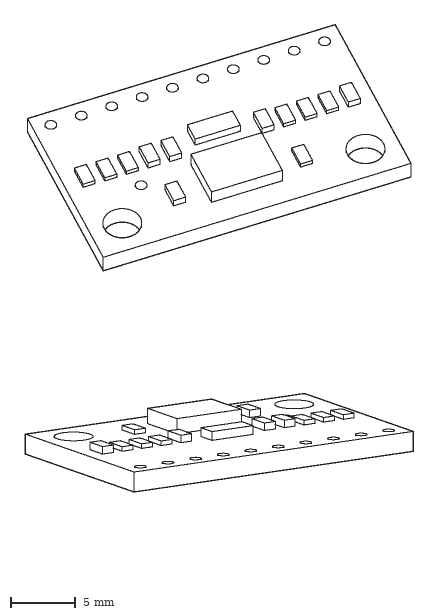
import cadquery as cq

board_width = 15.5
board_length = 25.7
total_height = 2.8
board_thickness = 1.6

pin_hole_diameter = 0.9
pin_count = 10
pin_row_length = 22.85
pin_pitch = pin_row_length / (pin_count - 1)
pin_row_x = -6.45
test_hole_x = 1.95
test_hole_y = -7.32
mount_hole_diameter = 3.0
mount_hole_x = 5.05
mount_hole_y = 10.15

main_chip_width = 4.21
main_chip_length = 5.9
main_chip_height = total_height - board_thickness
main_chip_x = 3.55

narrow_chip_width = 1.6
narrow_chip_length = 3.78
narrow_chip_height = 0.7
narrow_chip_x = -1.1

component_width = 1.8
component_length = 1.0
low = 0.35
tall = 0.6
component_pitch = 1.8
first_component_y = 3.85
side_component_x = 3.98
side_component_y = 5.3

upper_row = [(-0.35, tall), (-0.35, low), (-0.35, low), (-0.35, low), (-0.35, tall)]
lower_row = [(-0.35, tall), (-0.39, tall), (-0.4, low), (-0.4, low), (-0.44, low)]


def block_on_board(x, y, width, length, height):
    """Rectangular component standing on the top face of the board."""
    return (
        cq.Workplane("XY", origin=(x, y, board_thickness))
        .rect(width, length)
        .extrude(height)
    )


def small_component(x, y, height):
    return block_on_board(x, y, component_width, component_length, height)


def component_row(row, direction):
    """Evenly spaced components running from the middle toward +Y (1) or -Y (-1)."""
    components = []
    for index, (x, height) in enumerate(row):
        y = direction * (first_component_y + index * component_pitch)
        components.append(small_component(x, y, height))
    return components


def drilled_board():
    first_pin_y = -pin_row_length / 2
    small_holes = [(pin_row_x, first_pin_y + index * pin_pitch) for index in range(pin_count)]
    small_holes.append((test_hole_x, test_hole_y))
    mount_holes = [(mount_hole_x, -mount_hole_y), (mount_hole_x, mount_hole_y)]
    return (
        cq.Workplane("XY")
        .rect(board_width, board_length)
        .extrude(board_thickness)
        .faces(">Z")
        .workplane(origin=(0, 0, board_thickness))
        .pushPoints(small_holes)
        .hole(pin_hole_diameter)
        .pushPoints(mount_holes)
        .hole(mount_hole_diameter)
    )


components = [
    block_on_board(main_chip_x, 0, main_chip_width, main_chip_length, main_chip_height),
    block_on_board(narrow_chip_x, 0, narrow_chip_width, narrow_chip_length, narrow_chip_height),
    small_component(side_component_x, side_component_y, low),
    small_component(side_component_x, -side_component_y, tall),
]
components += component_row(upper_row, 1)
components += component_row(lower_row, -1)

result = drilled_board()
for component in components:
    result = result.union(component)